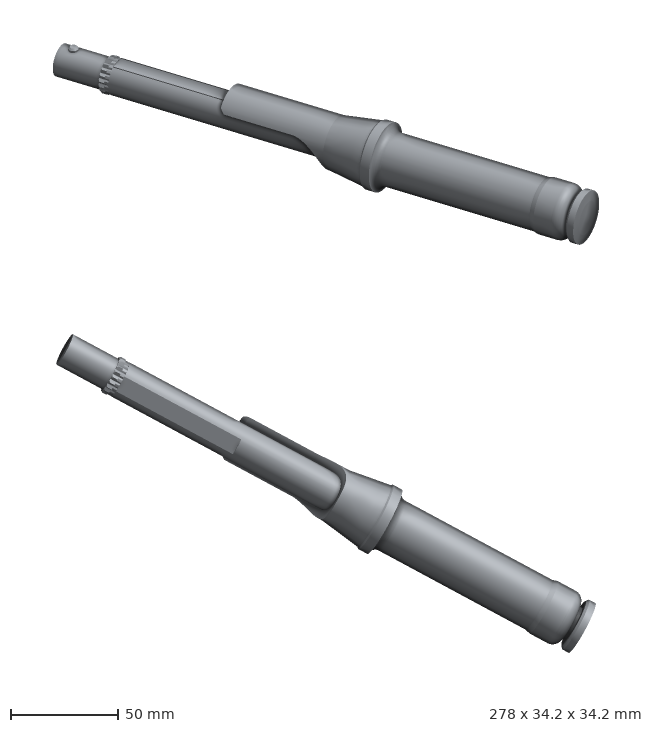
import cadquery as cq
import math

total_length = 278.0
overlap = 1.5

spigot_radius = 8.0
rod_radius = 18.0 / 2
rod_end = 166.8
flat_height = 8.0
flat_end = 92.3
groove_width = 0.8
groove_depth = 0.5
collar_start = 24.5
collar_root_radius = 8.3
collar_tip_radius = 9.5
collar_low_radius = 9.0
collar_bevel_end = 25.3
collar_step = 27.5
collar_end = 29.7
collar_teeth = 20
lug_x = 6.7
lug_radius = 2.5
lug_top = 9.7
lug_chamfer = 0.8

grip_radius = 26.5 / 2
tongue_start = 89.8
tongue_radius = 13.3
tongue_edge_height = 6.0
tongue_chamfer = 2.2
scoop_start = 129.0
scoop_mid = (139.0, 1.5)
cone_start = 145.0
cone_end = 165.7
cone_end_radius = 16.5
flange_start = 166.5
flange_end = 171.2
flange_radius = 34.2 / 2
grip_start = 175.5
grip_end = 253.8
cap_start = 256.3
cap_radius = 14.0
cap_round_start = 265.5
cap_end = 270.8
cap_end_radius = 9.5
neck_radius = 8.3
knob_start = 272.5
knob_start_radius = 12.0
knob_rim_start = 273.5
knob_rim_end = 277.0
knob_face_x = 277.5
knob_face_radius = 8.3


def cylinder_x(radius, start, end):
    return cq.Workplane("YZ", origin=(start, 0, 0)).circle(radius).extrude(end - start)


def box_between(low, high):
    size = [high[i] - low[i] for i in range(3)]
    return cq.Workplane("XY").box(*size, centered=False).translate(low)


def make_collar():
    """Straight teeth, turned down to a front bevel and a lower rear step."""
    pitch = 2 * math.pi / collar_teeth
    points = []
    for tooth in range(collar_teeth):
        for offset, radius in ((0, collar_root_radius), (pitch / 2, collar_tip_radius)):
            angle = tooth * pitch + offset
            points.append((radius * math.cos(angle), radius * math.sin(angle)))
    plane = cq.Workplane("YZ", origin=(collar_start, 0, 0))
    teeth = plane.polyline(points).close().extrude(collar_end - collar_start)
    envelope = (
        cq.Workplane("XY")
        .moveTo(collar_start, 0)
        .lineTo(collar_start, collar_low_radius)
        .lineTo(collar_bevel_end, collar_tip_radius)
        .lineTo(collar_step, collar_tip_radius)
        .lineTo(collar_step, collar_low_radius)
        .lineTo(collar_end, collar_low_radius)
        .lineTo(collar_end, 0)
        .close()
        .revolve(360, (0, 0, 0), (1, 0, 0))
    )
    return teeth.intersect(envelope)


def make_lug():
    """Small chamfered locating lug standing on the spigot."""
    lug = cq.Workplane("XY").center(lug_x, 0).circle(lug_radius).extrude(lug_top)
    return lug.faces(">Z").chamfer(lug_chamfer)


def make_shaft():
    """Long shaft with a relieved flat on top and a plain flat below."""
    shaft = cylinder_x(rod_radius, collar_end, rod_end)
    for low_z, high_z, end in (
        (flat_height, rod_radius, rod_end),
        (-rod_radius, -flat_height, flat_end),
    ):
        shaft = shaft.cut(box_between((collar_end, -rod_radius, low_z), (end, rod_radius, high_z)))
    half_flat = math.sqrt(rod_radius**2 - flat_height**2)
    for side in (-1, 1):
        groove_y = side * half_flat
        low = (collar_end, groove_y - groove_width / 2, flat_height - groove_depth)
        high = (rod_end, groove_y + groove_width / 2, rod_radius)
        shaft = shaft.cut(box_between(low, high))
    return shaft


def make_rod():
    rod = cylinder_x(spigot_radius, 0, collar_end + overlap)
    rod = rod.union(cylinder_x(collar_root_radius, collar_start, collar_end))
    return rod.union(make_collar()).union(make_shaft()).union(make_lug())


def make_handle_blank():
    """Turned handle, from the front of the tongue to the end knob."""
    cap_depth = cap_end - cap_round_start
    cap_drop = cap_radius - cap_end_radius
    cap_mid = (
        cap_round_start + cap_depth * math.sin(math.pi / 4),
        cap_end_radius + cap_drop * math.cos(math.pi / 4),
    )
    shoulder_mid = (
        grip_start - (grip_start - flange_end) * math.sin(math.pi / 4),
        flange_radius - (flange_radius - grip_radius) * math.cos(math.pi / 4),
    )
    return (
        cq.Workplane("XY")
        .moveTo(tongue_start, 0)
        .lineTo(tongue_start, tongue_radius)
        .lineTo(cone_start, tongue_radius)
        .lineTo(cone_end, cone_end_radius)
        .lineTo(flange_start, flange_radius)
        .lineTo(flange_end, flange_radius)
        .threePointArc(shoulder_mid, (grip_start, grip_radius))
        .lineTo(grip_end, grip_radius)
        .lineTo(cap_start, cap_radius)
        .lineTo(cap_round_start, cap_radius)
        .threePointArc(cap_mid, (cap_end, cap_end_radius))
        .lineTo(cap_end, neck_radius)
        .lineTo(knob_start, neck_radius)
        .lineTo(knob_start, knob_start_radius)
        .lineTo(knob_rim_start, grip_radius)
        .lineTo(knob_rim_end, grip_radius)
        .lineTo(knob_face_x, knob_face_radius)
        .lineTo(total_length, 0)
        .close()
        .revolve(360, (0, 0, 0), (1, 0, 0))
    )


def make_tongue_cutter():
    """Side outline of the space below the tongue, ending in the round scoop."""
    return (
        cq.Workplane("XZ")
        .moveTo(tongue_start, tongue_edge_height + tongue_chamfer)
        .lineTo(tongue_start + tongue_chamfer, tongue_edge_height)
        .lineTo(scoop_start, tongue_edge_height)
        .threePointArc(scoop_mid, (cone_start, -tongue_radius))
        .lineTo(cone_start, -flange_radius)
        .lineTo(tongue_start, -flange_radius)
        .close()
        .extrude(flange_radius, both=True)
    )


rod = make_rod()
handle = make_handle_blank().cut(make_tongue_cutter()).cut(rod)

result = cq.Compound.makeCompound([rod.val(), handle.val()])